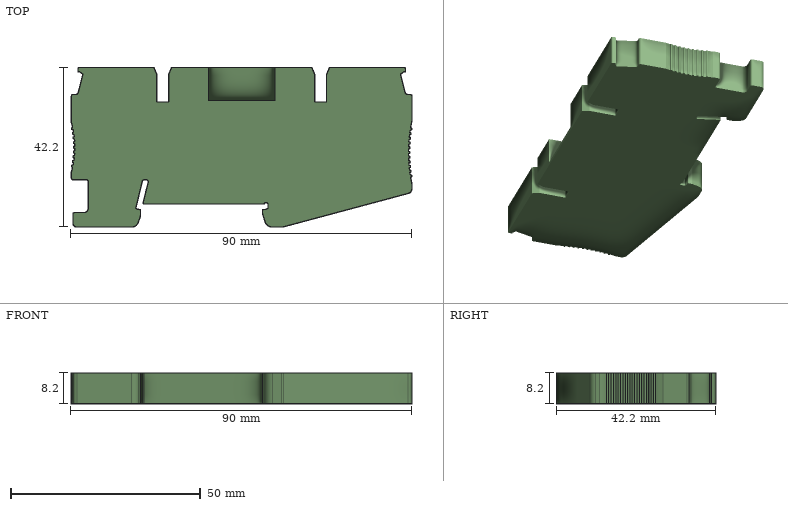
import cadquery as cq
import math

length = 90.02
height = 42.2
thickness = 8.2
mid_x = length / 2

hook_x = 1.75
hook_bottom_y = 41.0
hook_lip_x = 2.2
hook_throat_x = 3.05
hook_throat_y = 40.4
hook_radius = 0.35
shoulder_y = 35.1
shoulder_x = 1.7
shoulder_fillet = 0.6
shoulder_corner_radius = 0.55

recess_x = 4.45
recess_top_y = 12.5
recess_bottom_y = 3.9
recess_top_radius = 0.4
recess_bottom_radius = 1.1
side_corner_radius = 0.5
foot_x = 0.4
foot_corner_radius = 0.5
foot_bottom_radius = 1.1

rail_y = 6.1
nose_x = 18.3
nose_top_y = 4.65
nose_bend_y = 2.9
nose_bottom_x = 17.25
nose_bend_radius = 1.5
nose_bottom_radius = 1.9
slit_left_x = 17.05
slit_bottom_y = 4.9
slit_top_y = 12.5
slit_top_left_x = 18.87
slit_top_right_x = 20.45
slit_rail_x = 18.85
slit_radius = 0.5
slit_mouth_radius = 0.35
lip_radius = 0.2

seat_end_x = 51.0
undercut_x = 51.9
undercut_top_y = 6.45
undercut_bottom_y = 5.0
undercut_radius = 0.25
heel_lip_x = 51.2
heel_x = 50.5
heel_top_y = 4.7
heel_bend_y = 3.5
heel_bend_radius = 1.0
heel_bottom_x = 51.6
heel_bottom_radius = 2.1

slope_start_x = 55.8
slope_angle = 15.0
slope_start_radius = 2.0
slope_end_y = (length - slope_start_x) * math.tan(math.radians(slope_angle))
slope_end_radius = 1.5

rib_pitch = 1.24
rib_radius = 0.3
rib_lift = 0.06
left_grip_y = 21.1
left_grip_chord = 13.1
left_grip_depth = 0.93
left_rib_count = 9
right_grip_y = 19.75
right_grip_chord = 16.8
right_grip_depth = 0.94
right_rib_count = 11

slot_width = 3.05
slot_spacing = 41.7
slot_bottom_y = 33.1
slot_mouth_width = 4.65
slot_mouth_depth = 1.85

pocket_width = 17.65
pocket_bottom_y = 33.4
pocket_depth = 7.3


def mirrored(corners):
    """Mirror outline corners about the middle of the length, keeping the turning direction."""
    return [(length - x, y, radius) for x, y, radius in reversed(corners)]


def rounded_outline(corners):
    """Closed wire through (x, y, radius) corners, each rounded by a tangent arc when radius > 0."""
    edges = []
    first_point = None
    last_point = None
    for index, (x, y, radius) in enumerate(corners):
        corner = cq.Vector(x, y)
        to_previous = (cq.Vector(*corners[index - 1][:2]) - corner).normalized()
        to_next = (cq.Vector(*corners[(index + 1) % len(corners)][:2]) - corner).normalized()
        half_angle = to_previous.getAngle(to_next) / 2
        setback = radius / math.tan(half_angle)
        arc_start = corner + to_previous * setback
        arc_end = corner + to_next * setback
        if last_point is None:
            first_point = arc_start
        else:
            edges.append(cq.Edge.makeLine(last_point, arc_start))
        if radius > 0:
            bisector = (to_previous + to_next).normalized()
            arc_middle = corner + bisector * (radius / math.sin(half_angle) - radius)
            edges.append(cq.Edge.makeThreePointArc(arc_start, arc_middle, arc_end))
        last_point = arc_end
    edges.append(cq.Edge.makeLine(last_point, first_point))
    return cq.Wire.assembleEdges(edges)


def housing_body():
    left_hook = [
        (0, shoulder_y, shoulder_corner_radius),
        (shoulder_x, shoulder_y, shoulder_fillet),
        (hook_throat_x, hook_throat_y, 0),
        (hook_lip_x, hook_bottom_y, 0),
        (hook_x, hook_bottom_y, 0),
        (hook_x, height, hook_radius),
    ]
    lower_right = [
        (length, slope_end_y, slope_end_radius),
        (slope_start_x, 0, slope_start_radius),
    ]
    fixed_rail_hook = [
        (heel_bottom_x, 0, heel_bottom_radius),
        (heel_x, heel_bend_y, heel_bend_radius),
        (heel_x, heel_top_y, lip_radius),
        (heel_lip_x, heel_top_y, 0),
        (undercut_x, undercut_bottom_y, 0),
        (undercut_x, undercut_top_y, undercut_radius),
        (seat_end_x, undercut_top_y, undercut_radius),
        (seat_end_x, rail_y, 0),
    ]
    spring_foot = [
        (slit_rail_x, rail_y, slit_mouth_radius),
        (slit_top_right_x, slit_top_y, slit_radius),
        (slit_top_left_x, slit_top_y, slit_radius),
        (slit_left_x, slit_bottom_y, lip_radius),
        (nose_x, nose_top_y, lip_radius),
        (nose_x, nose_bend_y, nose_bend_radius),
        (nose_bottom_x, 0, nose_bottom_radius),
    ]
    rail_recess = [
        (foot_x, 0, foot_bottom_radius),
        (foot_x, recess_bottom_y, foot_corner_radius),
        (recess_x, recess_bottom_y, recess_bottom_radius),
        (recess_x, recess_top_y, recess_top_radius),
        (0, recess_top_y, side_corner_radius),
    ]
    corners = left_hook + mirrored(left_hook) + lower_right + fixed_rail_hook + spring_foot + rail_recess
    return cq.Workplane("XY").add(rounded_outline(corners)).toPending().extrude(thickness)


def add_grip(body, side_x, inward, centre_y, chord, depth, rib_count):
    """Hollow one side with a shallow arc and set round ribs along it; inward is +1 or -1 along X."""
    arc_radius = (chord**2 / 4 + depth**2) / (2 * depth)
    arc_centre_x = side_x + inward * (depth - arc_radius)
    hollow = (
        cq.Workplane("XY")
        .moveTo(side_x, centre_y - chord / 2)
        .threePointArc((side_x + inward * depth, centre_y), (side_x, centre_y + chord / 2))
        .close()
        .extrude(thickness)
    )
    rib_points = []
    for index in range(rib_count):
        offset_y = (index - (rib_count - 1) / 2) * rib_pitch
        arc_x = arc_centre_x + inward * math.sqrt(arc_radius**2 - offset_y**2)
        rib_points.append((arc_x - inward * rib_lift, centre_y + offset_y))
    ribs = cq.Workplane("XY").pushPoints(rib_points).circle(rib_radius).extrude(thickness)
    return body.cut(hollow).union(ribs)


def marker_slot(centre_x):
    half_width = slot_width / 2
    half_mouth = slot_mouth_width / 2
    mouth_bottom_y = height - slot_mouth_depth
    return (
        cq.Workplane("XY")
        .moveTo(centre_x - half_width, slot_bottom_y)
        .lineTo(centre_x + half_width, slot_bottom_y)
        .lineTo(centre_x + half_width, mouth_bottom_y)
        .lineTo(centre_x + half_mouth, height)
        .lineTo(centre_x - half_mouth, height)
        .lineTo(centre_x - half_width, mouth_bottom_y)
        .close()
        .extrude(thickness)
    )


def upper_pocket():
    pocket_length = height - pocket_bottom_y
    pocket_floor_z = thickness - pocket_depth
    return (
        cq.Workplane("XY", origin=(mid_x, pocket_bottom_y, pocket_floor_z))
        .box(pocket_width, pocket_length, pocket_depth, centered=(True, False, False))
    )


result = housing_body()
result = add_grip(result, 0, 1, left_grip_y, left_grip_chord, left_grip_depth, left_rib_count)
result = add_grip(result, length, -1, right_grip_y, right_grip_chord, right_grip_depth, right_rib_count)
for slot_side in (-1, 1):
    result = result.cut(marker_slot(mid_x + slot_side * slot_spacing / 2))
result = result.cut(upper_pocket())